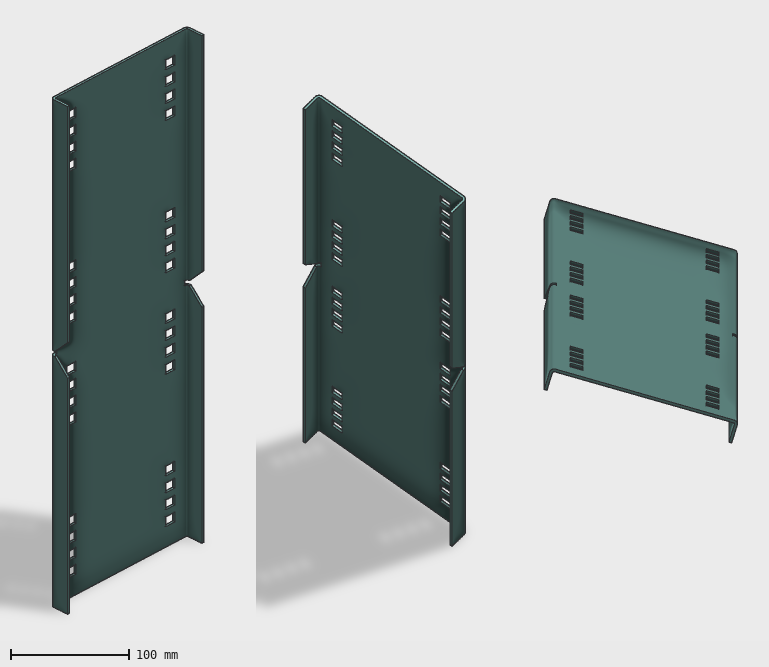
import cadquery as cq

height = 500.0
width = 165.5
depth = 20.0
sheet = 2.5
bend_radius = 4.0

vee_apex = sheet
vee_half_mouth = depth - vee_apex
slot_height = 5.0
slot_inset = 5.0
slot_reach = vee_apex + slot_height / 2

hole_width = 11.0
hole_height = 9.5
column_spacing = 120.0
holes_per_group = 4
group_length = 50.0
group_centres = [-200.0, -50.0, 50.0, 200.0]


def make_rounded_block(start_x, block_width, corner_radius):
    """Full-height block from start_x to +X, with its two -X edges rounded."""
    return (
        cq.Workplane("XY")
        .box(depth, block_width, height, centered=(False, True, True))
        .edges("|Z and <X")
        .fillet(corner_radius)
        .translate((start_x, 0, 0))
    )


def make_channel():
    """Upright C-section: web on the -X side, flanges pointing to +X."""
    outer = make_rounded_block(0, width, bend_radius)
    inner = make_rounded_block(sheet, width - 2 * sheet, bend_radius - sheet)
    return outer.cut(inner)


def make_vee():
    """V opening through both flanges, widest at their free edges."""
    return (
        cq.Workplane("XZ")
        .moveTo(vee_apex, 0)
        .lineTo(depth, -vee_half_mouth)
        .lineTo(depth, vee_half_mouth)
        .close()
        .extrude(width / 2, both=True)
    )


def make_bend_slots():
    """Slots through both bends that open the root of each V."""
    return (
        cq.Workplane("XY")
        .pushPoints([(0, -width / 2), (0, width / 2)])
        .rect(2 * slot_reach, 2 * slot_inset)
        .extrude(slot_height / 2, both=True)
    )


def make_holes():
    """Two columns of rectangular holes through the web, in groups along the height."""
    pitch = group_length / (holes_per_group - 1)
    centres = [
        (side * column_spacing / 2, group_centre - group_length / 2 + index * pitch)
        for side in (-1, 1)
        for group_centre in group_centres
        for index in range(holes_per_group)
    ]
    return cq.Workplane("YZ").pushPoints(centres).rect(hole_width, hole_height).extrude(sheet)


result = make_channel().cut(make_vee()).cut(make_bend_slots()).cut(make_holes())